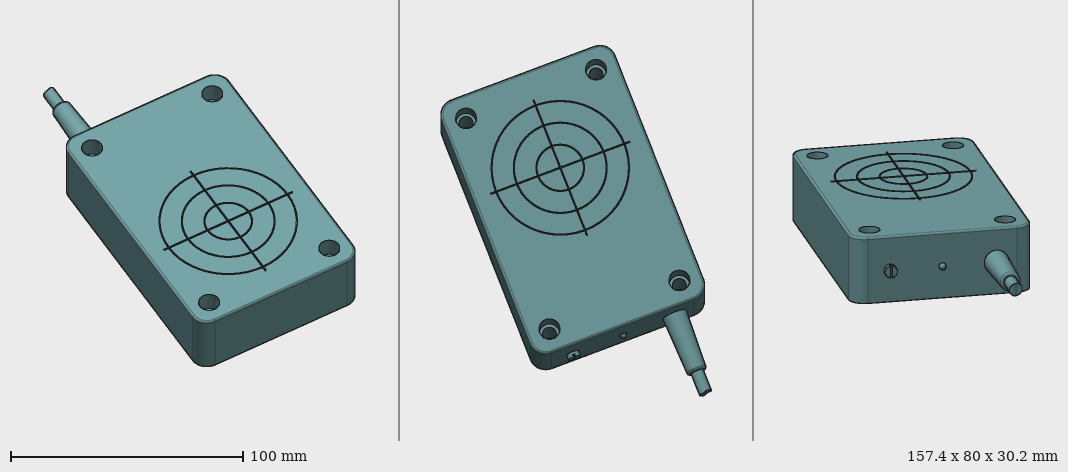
import cadquery as cq
import math

TOTAL_LENGTH = 157.4

HOUSING_LENGTH = 120.1
HOUSING_WIDTH = 80.0
HOUSING_HEIGHT = 30.0
CORNER_RADIUS = 7.1
TOP_FILLET = 1.0
REAR_FACE_X = -HOUSING_LENGTH / 2

HOLE_SPACING_X = 100.0
HOLE_SPACING_Y = 60.0
HOLE_DIAMETER = 6.0
COUNTERBORE_DIAMETER = 9.0
COUNTERBORE_DEPTH = 9.5

TARGET_X = 15.0
RING_RADII = (10.2, 20.0, 29.6)
CROSS_LENGTH = 64.0
MARK_WIDTH = 0.5
MARK_HEIGHT = 0.24

FITTING_HEIGHT = 14.5
SCREW_Y = 23.1
SCREW_DIAMETER = 5.5
SCREW_PROTRUSION = 2.4
SLOT_WIDTH = 1.0
SLOT_DEPTH = 1.1
LAMP_DIAMETER = 3.1
LAMP_PROTRUSION = 1.9

CABLE_Y = -24.0
CABLE_DIAMETER = 5.7
CABLE_END_X = HOUSING_LENGTH / 2 - TOTAL_LENGTH
CABLE_FREE_LENGTH = 10.2
CABLE_END_WAVE = 0.3
SLEEVE_TIP_DIAMETER = 8.7
SLEEVE_ROOT_DIAMETER = 10.9
SLEEVE_TIP_FILLET = 1.1


def rear_plane(y):
    """Plane on the rear face at a fitting axis, with its normal pointing out along -X."""
    return cq.Plane(origin=(REAR_FACE_X, y, FITTING_HEIGHT), xDir=(0, -1, 0), normal=(-1, 0, 0))


def make_block():
    block = cq.Workplane("XY").box(
        HOUSING_LENGTH, HOUSING_WIDTH, HOUSING_HEIGHT, centered=(True, True, False)
    )
    block = block.edges("|Z").fillet(CORNER_RADIUS)
    block = block.faces(">Z").fillet(TOP_FILLET)
    return (
        block.faces(">Z")
        .workplane(origin=(0, 0, HOUSING_HEIGHT))
        .rect(HOLE_SPACING_X, HOLE_SPACING_Y, forConstruction=True)
        .vertices()
        .cboreHole(HOLE_DIAMETER, COUNTERBORE_DIAMETER, COUNTERBORE_DEPTH)
    )


def make_target_marks():
    top_face = cq.Workplane("XY", origin=(TARGET_X, 0, HOUSING_HEIGHT))
    marks = top_face.rect(CROSS_LENGTH, MARK_WIDTH).extrude(MARK_HEIGHT)
    marks = marks.union(top_face.rect(MARK_WIDTH, CROSS_LENGTH).extrude(MARK_HEIGHT))
    for radius in RING_RADII:
        ring = (
            cq.Workplane("XZ", origin=(TARGET_X, 0, HOUSING_HEIGHT))
            .moveTo(radius - MARK_WIDTH / 2, 0)
            .threePointArc((radius, MARK_HEIGHT), (radius + MARK_WIDTH / 2, 0))
            .close()
            .revolve(360, (0, 0, 0), (0, 1, 0))
        )
        marks = marks.union(ring)
    return marks


def make_screw():
    screw = cq.Workplane(rear_plane(SCREW_Y)).circle(SCREW_DIAMETER / 2).extrude(SCREW_PROTRUSION)
    slot = (
        cq.Workplane(rear_plane(SCREW_Y))
        .workplane(offset=SCREW_PROTRUSION - SLOT_DEPTH)
        .rect(SLOT_WIDTH, SCREW_DIAMETER)
        .extrude(SLOT_DEPTH)
    )
    return screw.cut(slot)


def make_lamp():
    """Round lamp with a hemispherical end."""
    radius = LAMP_DIAMETER / 2
    tip_x = REAR_FACE_X - LAMP_PROTRUSION
    dome_centre_x = tip_x + radius
    arc_offset = radius * math.sqrt(0.5)
    return (
        cq.Workplane("XY", origin=(0, 0, FITTING_HEIGHT))
        .moveTo(REAR_FACE_X, 0)
        .lineTo(REAR_FACE_X, radius)
        .lineTo(dome_centre_x, radius)
        .threePointArc((dome_centre_x - arc_offset, arc_offset), (tip_x, 0))
        .close()
        .revolve(360, (0, 0, 0), (1, 0, 0))
    )


def make_housing():
    """Block together with the target, screw head and lamp formed on its faces."""
    return make_block().union(make_target_marks()).union(make_screw()).union(make_lamp())


def make_cable_end_cut():
    """Waste beyond the S-shaped cable end: bulging on its +Y half, hollow on its -Y half."""
    radius = CABLE_DIAMETER / 2
    mid_x = CABLE_END_X + CABLE_END_WAVE
    return (
        cq.Workplane("XY")
        .moveTo(mid_x, CABLE_Y + radius)
        .threePointArc((CABLE_END_X, CABLE_Y + radius / 2), (mid_x, CABLE_Y))
        .threePointArc((mid_x + CABLE_END_WAVE, CABLE_Y - radius / 2), (mid_x, CABLE_Y - radius))
        .lineTo(CABLE_END_X - radius, CABLE_Y - radius)
        .lineTo(CABLE_END_X - radius, CABLE_Y + radius)
        .close()
        .extrude(HOUSING_HEIGHT)
    )


def make_cable():
    """Cable and its sleeve as one body, butting against the rear face of the housing."""
    sleeve_tip_x = CABLE_END_X + CABLE_FREE_LENGTH
    sleeve = (
        cq.Workplane("XY", origin=(0, CABLE_Y, FITTING_HEIGHT))
        .moveTo(REAR_FACE_X, 0)
        .lineTo(REAR_FACE_X, SLEEVE_ROOT_DIAMETER / 2)
        .lineTo(sleeve_tip_x, SLEEVE_TIP_DIAMETER / 2)
        .lineTo(sleeve_tip_x, 0)
        .close()
        .revolve(360, (0, 0, 0), (1, 0, 0))
        .faces("<X")
        .edges()
        .fillet(SLEEVE_TIP_FILLET)
    )
    cable = (
        cq.Workplane("YZ", origin=(CABLE_END_X, CABLE_Y, FITTING_HEIGHT))
        .circle(CABLE_DIAMETER / 2)
        .extrude(CABLE_FREE_LENGTH)
    )
    cable = cable.cut(make_cable_end_cut())
    return sleeve.union(cable)


housing = make_housing()
cable = make_cable()
result = cq.Compound.makeCompound([housing.solids().val(), cable.solids().val()])